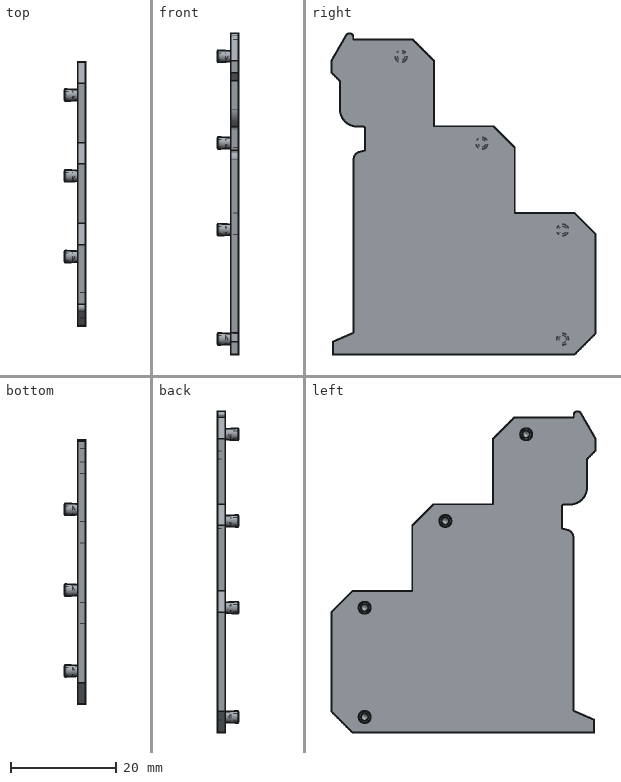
import cadquery as cq
import math

plate_thickness = 1.5
rear_y = 50.3
overall_height = 61.19

step_count = 3
step_run = 15.37
step_rise = 16.5
first_step_height = 27.0
corner_chamfer = 4.05

front_edge_y = 4.2
foot_tip_y = 0.3
foot_tip_height = 2.5
foot_root_height = 4.2

notch_y = 6.4
notch_bottom = 38.9
notch_top = 43.4
notch_corner_radius = 0.35
shoulder_slope = math.radians(15)
shoulder_radius = 1.5

neck_y = 1.6
neck_radius = 3.35
nose_root_height = 52.1
nose_bottom = 53.7
lug_radius = 0.75
flank_angle = math.radians(30)

pin_length = 2.5
pin_rim_radius = 1.17
pin_root_radius = 1.05
pin_rim_rounding = 0.25
pin_socket_radius = 0.7
pin_socket_depth = 1.5
socket_point_angle = math.radians(118)
pin_inset = 6.33
pin_drop = 3.2
lowest_pin_height = 3.0


def step_rear(index):
    """Y of the rear edge of a step, counted from the lowest."""
    return rear_y - index * step_run


def step_height(index):
    """Z of the top edge of a step, counted from the lowest."""
    return first_step_height + index * step_rise


def add_steps(outline):
    """Climb the rear side from the bottom edge to the top of the last step."""
    outline = outline.lineTo(rear_y - corner_chamfer, 0)
    outline = outline.lineTo(rear_y, corner_chamfer)
    for index in range(step_count):
        rear = step_rear(index)
        height = step_height(index)
        if index > 0:
            outline = outline.lineTo(rear, step_height(index - 1))
        outline = outline.lineTo(rear, height - corner_chamfer)
        outline = outline.lineTo(rear - corner_chamfer, height)
    return outline


def add_lug_and_nose(outline):
    """Round the top lug, then follow the sloping flank down to the nose."""
    lug_y = front_edge_y - lug_radius
    lug_z = overall_height - lug_radius
    flank_top_y = lug_y - lug_radius * math.cos(flank_angle)
    flank_top_z = lug_z + lug_radius * math.sin(flank_angle)
    outline = outline.lineTo(front_edge_y, step_height(step_count - 1))
    outline = outline.lineTo(front_edge_y, lug_z)
    outline = outline.threePointArc((lug_y, overall_height), (flank_top_y, flank_top_z))

    nose_top = flank_top_z - flank_top_y / math.tan(flank_angle)
    outline = outline.lineTo(0, nose_top)
    outline = outline.lineTo(0, nose_bottom)
    return outline.lineTo(neck_y, nose_root_height)


def add_neck_and_notch(outline):
    """Round under the head into the notch and out over the shoulder below it."""
    outline = outline.lineTo(neck_y, notch_top + neck_radius)
    outline = outline.radiusArc((neck_y + neck_radius, notch_top), -neck_radius)
    outline = outline.lineTo(notch_y - notch_corner_radius, notch_top)
    outline = outline.radiusArc((notch_y, notch_top - notch_corner_radius), notch_corner_radius)
    outline = outline.lineTo(notch_y, notch_bottom)

    crest_y = front_edge_y + shoulder_radius * (1 - math.sin(shoulder_slope))
    crest_z = notch_bottom - (notch_y - crest_y) * math.tan(shoulder_slope)
    shoulder_end_z = crest_z - shoulder_radius * math.cos(shoulder_slope)
    outline = outline.lineTo(crest_y, crest_z)
    return outline.radiusArc((front_edge_y, shoulder_end_z), -shoulder_radius)


def make_plate():
    outline = cq.Workplane("YZ").moveTo(foot_tip_y, 0)
    outline = add_steps(outline)
    outline = add_lug_and_nose(outline)
    outline = add_neck_and_notch(outline)
    outline = outline.lineTo(front_edge_y, foot_root_height)
    outline = outline.lineTo(foot_tip_y, foot_tip_height)
    return outline.close().extrude(plate_thickness)


def make_pin():
    """Pin along -X: flares towards a rounded rim, with a drilled socket in its tip."""
    rim_x = pin_rim_rounding - pin_length
    tip_radius = pin_rim_radius - pin_rim_rounding
    socket_end_x = pin_socket_depth - pin_length
    point_length = pin_socket_radius / math.tan(socket_point_angle / 2)
    profile = cq.Workplane("XY").moveTo(0, 0)
    profile = profile.lineTo(0, pin_root_radius)
    profile = profile.lineTo(rim_x, pin_rim_radius)
    profile = profile.radiusArc((-pin_length, tip_radius), -pin_rim_rounding)
    profile = profile.lineTo(-pin_length, pin_socket_radius)
    profile = profile.lineTo(socket_end_x, pin_socket_radius)
    profile = profile.lineTo(socket_end_x + point_length, 0)
    return profile.close().revolve(360, (0, 0, 0), (1, 0, 0))


def pin_positions():
    """One pin near the top of each step and one near the bottom edge."""
    positions = [(step_rear(0) - pin_inset, lowest_pin_height)]
    for index in range(step_count):
        positions.append((step_rear(index) - pin_inset, step_height(index) - pin_drop))
    return positions


result = make_plate()
for pin_y, pin_z in pin_positions():
    result = result.union(make_pin().translate((0, pin_y, pin_z)))